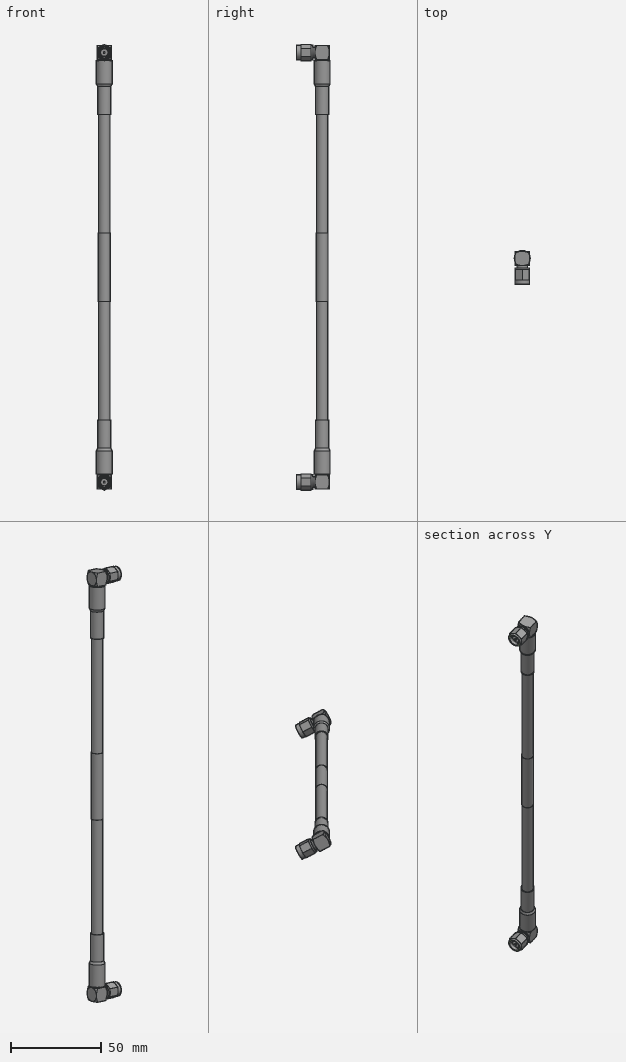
import math

import cadquery as cq


overall_length = 247.5
cable_axis_y = 5.0
plug_tip_y = -9.5

cable_diameter = 6.5
band_diameter = 6.7
band_length = 38.0

boot_diameter = 9.0
boot_tail_diameter = 7.5
boot_wide_length = 14.4
boot_shoulder_length = 1.5
boot_tail_length = 15.5
boot_gap = 0.5

elbow_size = 8.0
corner_cone_length = 1.0
neck_radius = 3.0

nut_across_flats = 8.0
nut_back_y = -0.2
hexagon_back_y = -1.2
hexagon_front_y = -7.0
collar_diameter = 8.2

socket_radius = 3.0
socket_depth = 5.5
socket_chamfer = 0.5
shell_outer_radius = 2.3
shell_inner_radius = 2.05
shell_recess = 1.0
insulator_length = 3.0
pin_radius = 0.5

nut_corner_radius = nut_across_flats / math.sqrt(3)
plug_axis_z = overall_length / 2 - nut_corner_radius
elbow_bottom_z = plug_axis_z - elbow_size / 2
boot_top_z = elbow_bottom_z - boot_gap
elbow_back_y = cable_axis_y + elbow_size / 2
elbow_front_y = cable_axis_y - elbow_size / 2


def cable_cylinder(diameter, length):
    """Solid cylinder on the cable axis, centred at mid length."""
    base = cq.Workplane("XY", origin=(0, cable_axis_y, -length / 2))
    return base.circle(diameter / 2).extrude(length)


def plug_section(y_start):
    """Workplane on the plug axis whose extrusions run toward the mating face."""
    return cq.Workplane("XZ", origin=(0, y_start, plug_axis_z))


def plug_cylinder(radius, y_start, y_end):
    """Solid cylinder on the plug axis, from y_start toward the mating face."""
    return plug_section(y_start).circle(radius).extrude(y_start - y_end)


def make_cable():
    """Cable between both elbows, with the raised marker band at mid length."""
    cable = cable_cylinder(cable_diameter, 2 * elbow_bottom_z)
    return cable.union(cable_cylinder(band_diameter, band_length))


def make_boot():
    """Upper stepped sleeve that fits around the cable just short of the elbow."""
    wide_end_z = boot_top_z - boot_wide_length
    tail_end_z = wide_end_z - boot_tail_length
    profile = [
        (cable_diameter / 2, boot_top_z),
        (boot_diameter / 2, boot_top_z),
        (boot_diameter / 2, wide_end_z + boot_shoulder_length),
        (boot_tail_diameter / 2, wide_end_z),
        (boot_tail_diameter / 2, tail_end_z),
        (cable_diameter / 2, tail_end_z),
    ]
    sleeve = cq.Workplane("YZ").polyline(profile).close().revolve(360, (0, 0, 0), (0, 1, 0))
    return sleeve.translate((0, cable_axis_y, 0))


def make_elbow():
    """Cube whose corners are trimmed by a cone at its front and back ends."""
    block = plug_section(elbow_back_y).rect(elbow_size, elbow_size).extrude(elbow_size)
    corner_radius = elbow_size / math.sqrt(2)
    cone_drop = corner_radius - elbow_size / 2
    trim = plug_cylinder(corner_radius, elbow_back_y, elbow_front_y)
    trim = trim.faces("<Y").chamfer(corner_cone_length, cone_drop)
    trim = trim.faces(">Y").chamfer(corner_cone_length, cone_drop)
    return block.intersect(trim)


def make_nut():
    """Coupling nut: a hexagon, one corner up and one down, between a collar and a round nose."""
    hexagon_length = hexagon_back_y - hexagon_front_y
    hexagon = plug_section(hexagon_back_y).transformed(rotate=(0, 0, 90))
    hexagon = hexagon.polygon(6, 2 * nut_corner_radius).extrude(hexagon_length)
    collar = plug_cylinder(collar_diameter / 2, nut_back_y, hexagon_back_y)
    nose = plug_cylinder(collar_diameter / 2, hexagon_front_y, plug_tip_y)
    return hexagon.union(collar).union(nose)


def make_contact(socket_floor_y):
    """Thin outer shell, insulator and centre pin that stand on the socket floor."""
    contact_tip_y = plug_tip_y + shell_recess
    shell = plug_cylinder(shell_outer_radius, socket_floor_y, contact_tip_y)
    shell = shell.cut(plug_cylinder(shell_inner_radius, socket_floor_y, contact_tip_y))
    insulator = plug_cylinder(shell_inner_radius, socket_floor_y, socket_floor_y - insulator_length)
    pin = plug_cylinder(pin_radius, socket_floor_y, contact_tip_y)
    return shell.union(insulator).union(pin)


def make_plug():
    """Upper right-angle plug: elbow, neck, nut, and the contact inside its socket."""
    neck = plug_cylinder(neck_radius, elbow_front_y, nut_back_y)
    plug = make_elbow().union(neck).union(make_nut())
    socket_floor_y = plug_tip_y + socket_depth
    plug = plug.cut(plug_cylinder(socket_radius, socket_floor_y, plug_tip_y))
    mouth = plug.faces("<Y").edges(cq.selectors.RadiusNthSelector(0))
    return mouth.chamfer(socket_chamfer).union(make_contact(socket_floor_y))


bodies = [make_cable().solids().val()]
for make_end_part in (make_boot, make_plug):
    upper = make_end_part().solids()
    lower = upper.mirror("XY")
    bodies += [upper.val(), lower.val()]

result = cq.Compound.makeCompound(bodies)